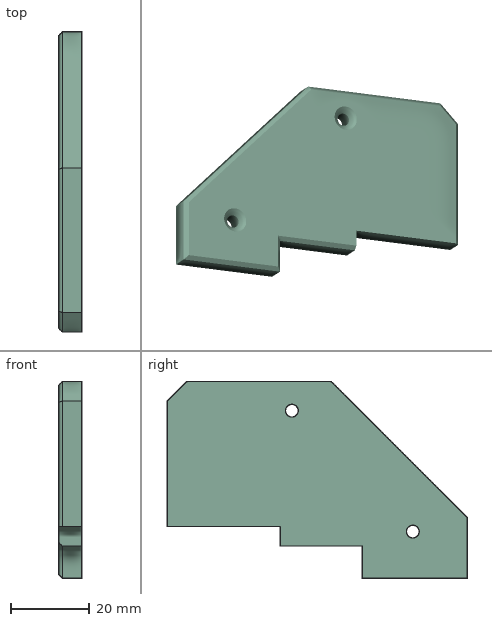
import cadquery as cq

thickness = 6.0
length = 77.0
height = 50.5

long_bevel = 34.9
corner_bevel = 5.0
foot_length = 27.0
middle_length = 21.0
middle_step_z = 8.25
upper_step_z = 13.25

edge_chamfer = 1.0

hole_diameter = 3.2
countersink_diameter = 6.2
countersink_angle = 90.0
hole_places = [(14.0, 12.0), (45.0, 43.0)]

foot_y = length - foot_length
middle_y = foot_y - middle_length


def plate():
    outline = [
        (length, 0),
        (length, height - long_bevel),
        (length - long_bevel, height),
        (corner_bevel, height),
        (0, height - corner_bevel),
        (0, upper_step_z),
        (middle_y, upper_step_z),
        (middle_y, middle_step_z),
        (foot_y, middle_step_z),
        (foot_y, 0),
    ]
    return cq.Workplane("YZ").polyline(outline).close().extrude(thickness)


def chamfer_outer_face(body):
    """Bevel the outer face all round, except along the upper step and its riser."""
    upper_step_edges = cq.selectors.BoxSelector(
        (-edge_chamfer, 0, middle_step_z + edge_chamfer),
        (edge_chamfer, middle_y + edge_chamfer, upper_step_z + edge_chamfer),
    )
    outer_edges = body.faces("<X").edges()
    kept_sharp = outer_edges.edges(upper_step_edges).vals()
    bevelled = [edge for edge in outer_edges.vals() if edge not in kept_sharp]
    return body.newObject(bevelled).chamfer(edge_chamfer)


def drill_holes(body):
    """Screw holes through the plate, countersunk from the outer face."""
    outer_plane = cq.Plane(origin=(0, length, 0), xDir=(0, -1, 0), normal=(-1, 0, 0))
    return (
        cq.Workplane(outer_plane)
        .add(body)
        .pushPoints(hole_places)
        .cskHole(hole_diameter, countersink_diameter, countersink_angle)
    )


result = drill_holes(chamfer_outer_face(plate()))